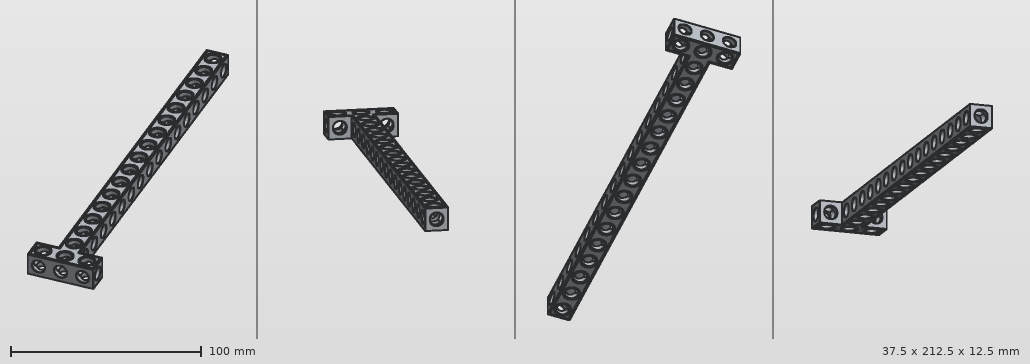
import cadquery as cq

length = 212.5
stem_cells = 17
bar_cells = 3
hole_diameter = 7.0
collar_diameter = 9.1
rim_width = 1.0
recess_depth = 0.2
edge_bevel = 0.3

pitch = length / stem_cells
bar_length = bar_cells * pitch
half_pitch = pitch / 2

middle = (bar_cells - 1) / 2
bar_xs = [(i - middle) * pitch for i in range(bar_cells)]
stem_ys = [i * pitch for i in range(stem_cells)]
stem_middle = (stem_ys[0] + stem_ys[-1]) / 2
cell_centres = [(x, 0) for x in bar_xs] + [(0, y) for y in stem_ys[1:]]


def tee(inset, height):
    """T-shaped prism centred on Z = 0, its outline moved inwards by the inset."""
    crossbar = cq.Workplane("XY").box(bar_length - 2 * inset, pitch - 2 * inset, height)
    stem = cq.Workplane("XY").box(pitch - 2 * inset, length - 2 * inset, height)
    return crossbar.union(stem.translate((0, stem_middle, 0)))


def make_recess():
    """Recess in the top face: the inset T without the collars around the holes."""
    collars = cq.Workplane("XY").pushPoints(cell_centres).circle(collar_diameter / 2)
    recess = tee(rim_width, recess_depth).cut(collars.extrude(recess_depth, both=True))
    return recess.translate((0, 0, half_pitch - recess_depth / 2))


def make_hole(span):
    """Round cutter along Z, centred on the origin, with a bevelled mouth at both ends."""
    bore_radius = hole_diameter / 2
    mouth_radius = bore_radius + edge_bevel
    end = span / 2
    neck = end - edge_bevel
    half_profile = [
        (0, -end),
        (mouth_radius, -end),
        (bore_radius, -neck),
        (bore_radius, neck),
        (mouth_radius, end),
        (0, end),
    ]
    return cq.Workplane("XZ").polyline(half_profile).close().revolve(360, (0, 0, 0), (0, 1, 0))


def turn_to_x(cutter):
    return cutter.rotate((0, 0, 0), (0, 1, 0), 90)


def turn_to_y(cutter):
    return cutter.rotate((0, 0, 0), (1, 0, 0), 90)


beam = tee(0, pitch).edges().chamfer(edge_bevel)

recess = make_recess()
beam = beam.cut(recess).cut(recess.mirror("XY"))

cell_hole = make_hole(pitch)
for x, y in cell_centres:
    beam = beam.cut(cell_hole.translate((x, y, 0)))
for y in stem_ys[1:]:
    beam = beam.cut(turn_to_x(cell_hole).translate((0, y, 0)))
for x in (bar_xs[0], bar_xs[-1]):
    beam = beam.cut(turn_to_y(cell_hole).translate((x, 0, 0)))

beam = beam.cut(turn_to_x(make_hole(bar_length)))
beam = beam.cut(turn_to_y(make_hole(length)).translate((0, stem_middle, 0)))

result = beam